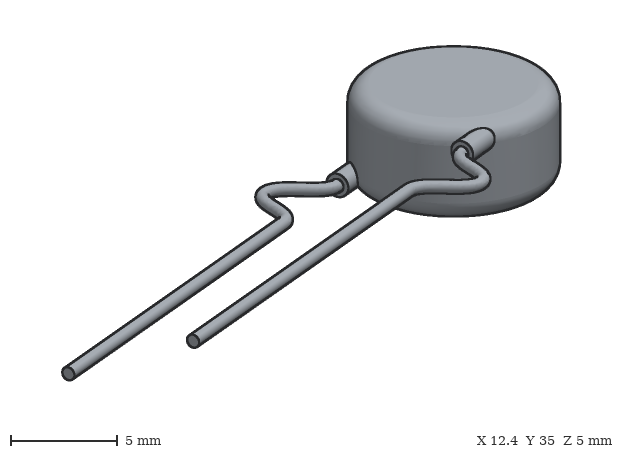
import cadquery as cq

DISC_DIAMETER = 10.0
DISC_HEIGHT = 5.0
DISC_EDGE_RADIUS = 1.0
SLEEVE_DIAMETER = 1.2
LEAD_DIAMETER = 0.65
LEAD_PITCH = 6.8
LEAD_LEVEL = 1.6
OVERALL_LENGTH = 35.0
OVERALL_WIDTH = 12.42
KINK_LENGTH = 5.0

DISC_RADIUS = DISC_DIAMETER / 2
LEAD_X = LEAD_PITCH / 2
SLEEVE_END_Y = -DISC_RADIUS
KINK_PEAK_X = (OVERALL_WIDTH - LEAD_DIAMETER) / 2
KINK_PEAK_Y = SLEEVE_END_Y - KINK_LENGTH / 2
KINK_END_Y = SLEEVE_END_Y - KINK_LENGTH
LEAD_END_Y = DISC_RADIUS - OVERALL_LENGTH
CURVE_HANDLE = KINK_LENGTH / 4

SIDES = (-1, 1)


def make_sleeve(side):
    """Solid cylinder on the axis of one lead, from inside the disc to the plane of its front edge."""
    plane = cq.Plane(
        origin=(side * LEAD_X, 0, side * LEAD_LEVEL),
        xDir=(1, 0, 0),
        normal=(0, -1, 0),
    )
    return cq.Workplane(plane).circle(SLEEVE_DIAMETER / 2).extrude(-SLEEVE_END_Y)


def make_housing():
    """Rounded disc with a short sleeve joined to it for each lead."""
    housing = (
        cq.Workplane("XY")
        .cylinder(DISC_HEIGHT, DISC_RADIUS)
        .faces("|Z")
        .edges()
        .fillet(DISC_EDGE_RADIUS)
    )
    for side in SIDES:
        housing = housing.union(make_sleeve(side))
    return housing


def make_lead(side):
    """Round wire that starts on the sleeve end, kinks outwards and runs straight to its tip."""
    level = side * LEAD_LEVEL
    inner_x = side * LEAD_X
    peak_x = side * KINK_PEAK_X
    path = (
        cq.Workplane("XY", origin=(0, 0, level))
        .moveTo(inner_x, SLEEVE_END_Y)
        .bezier(
            [
                (inner_x, SLEEVE_END_Y),
                (inner_x, SLEEVE_END_Y - CURVE_HANDLE),
                (peak_x, KINK_PEAK_Y + CURVE_HANDLE),
                (peak_x, KINK_PEAK_Y),
            ]
        )
        .bezier(
            [
                (peak_x, KINK_PEAK_Y),
                (peak_x, KINK_PEAK_Y - CURVE_HANDLE),
                (inner_x, KINK_END_Y + CURVE_HANDLE),
                (inner_x, KINK_END_Y),
            ]
        )
        .lineTo(inner_x, LEAD_END_Y)
    )
    section_plane = cq.Plane(
        origin=(inner_x, SLEEVE_END_Y, level),
        xDir=(1, 0, 0),
        normal=(0, -1, 0),
    )
    return cq.Workplane(section_plane).circle(LEAD_DIAMETER / 2).sweep(path)


housing = make_housing()
leads = [make_lead(side).val() for side in SIDES]
result = cq.Compound.makeCompound([housing.val(), *leads])